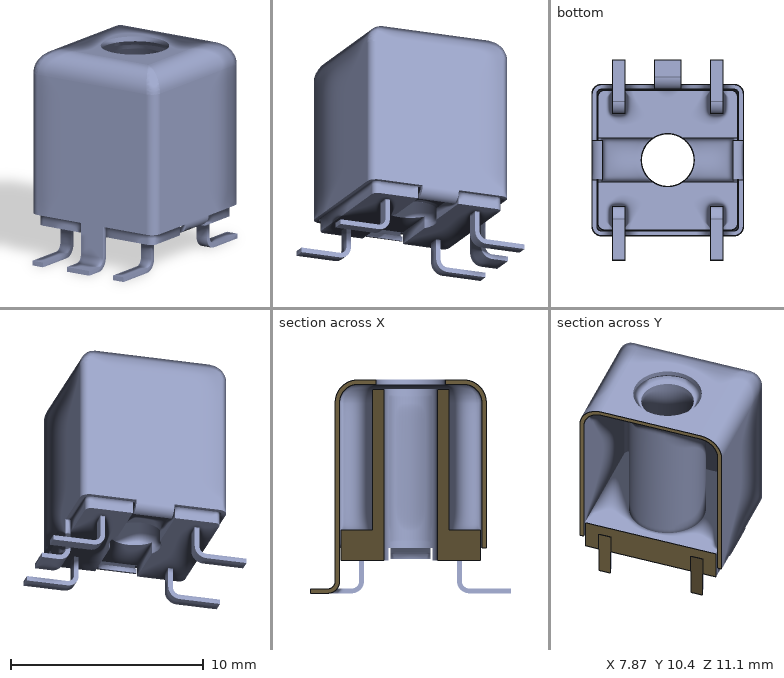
import cadquery as cq
import math


CAN_WIDTH = 7.87
TOTAL_LENGTH = 10.41
TOTAL_HEIGHT = 11.1

SHEET = 0.254
CAN_BOTTOM = 2.34
CAN_CORNER_RADIUS = 0.508
CAN_TOP_RADIUS = 1.2
TOP_HOLE_DIAMETER = 3.56
GROUND_TAB_WIDTH = 1.4
CLINCH_TAB_WIDTH = 2.05
CLINCH_OUTER_RADIUS = 0.56

FORM_BOTTOM = 1.71
FORM_WIDTH = 7.24
FORM_CORNER_RADIUS = 0.33
PLATE_THICKNESS = 1.6
CHANNEL_WIDTH = 2.27
TUBE_DIAMETER = 4.0
TUBE_BORE = 2.73
TUBE_TOP_DEPTH = 0.5

PIN_SPACING = 5.08
PIN_WIDTH = 0.66
PIN_THICKNESS = 0.254
PIN_EMBEDDED = 1.0
BEND_INNER_RADIUS = 0.381

CAVITY_WIDTH = CAN_WIDTH - 2 * SHEET
FOOT_TIP = TOTAL_LENGTH / 2


def domed_block(width, top, corner_radius, top_radius):
    """Square block standing on the can's lower edge, rounded at its corners and top edges."""
    block = cq.Workplane("XY").workplane(offset=CAN_BOTTOM).rect(width, width).extrude(top - CAN_BOTTOM)
    return block.faces(">Z").edges().fillet(top_radius).edges("|Z").fillet(corner_radius)


def bent_foot(width, thickness, inner_face, top):
    """Leg along X = 0 whose inner face is at Y = -inner_face, bent out to a foot towards -Y."""
    outer_face = inner_face + thickness
    outer_radius = BEND_INNER_RADIUS + thickness
    diagonal = math.cos(math.radians(45))
    bend_y = -(outer_face + BEND_INNER_RADIUS)
    bend_z = outer_radius
    profile = (
        cq.Workplane("YZ")
        .moveTo(-inner_face, top)
        .lineTo(-inner_face, bend_z)
        .threePointArc(
            (bend_y + outer_radius * diagonal, bend_z - outer_radius * diagonal),
            (bend_y, 0),
        )
        .lineTo(-FOOT_TIP, 0)
        .lineTo(-FOOT_TIP, thickness)
        .lineTo(bend_y, thickness)
        .threePointArc(
            (bend_y + BEND_INNER_RADIUS * diagonal, bend_z - BEND_INNER_RADIUS * diagonal),
            (-outer_face, bend_z),
        )
        .lineTo(-outer_face, top)
        .close()
    )
    return profile.extrude(width / 2, both=True)


def clinch_tab():
    """Tab curled a quarter turn inwards under the +X wall of the can."""
    axis_x = CAN_WIDTH / 2 - CLINCH_OUTER_RADIUS
    ring = (
        cq.Workplane("XZ", origin=(axis_x, 0, CAN_BOTTOM))
        .circle(CLINCH_OUTER_RADIUS)
        .circle(CLINCH_OUTER_RADIUS - SHEET)
        .extrude(CLINCH_TAB_WIDTH / 2, both=True)
    )
    quarter = cq.Workplane("XY", origin=(axis_x, 0, CAN_BOTTOM - CLINCH_OUTER_RADIUS)).box(
        CLINCH_OUTER_RADIUS, CLINCH_TAB_WIDTH, CLINCH_OUTER_RADIUS, centered=(False, True, False)
    )
    return ring.intersect(quarter)


def make_can():
    """Hollow can with a hole in its top, a ground tab towards -Y and clinch tabs at both X sides."""
    shell = domed_block(CAN_WIDTH, TOTAL_HEIGHT, CAN_CORNER_RADIUS, CAN_TOP_RADIUS)
    cavity = domed_block(
        CAVITY_WIDTH, TOTAL_HEIGHT - SHEET, CAN_CORNER_RADIUS - SHEET, CAN_TOP_RADIUS - SHEET
    )
    shell = shell.cut(cavity)
    shell = shell.faces(">Z").workplane().hole(TOP_HOLE_DIAMETER, 2 * SHEET)
    shell = shell.union(bent_foot(GROUND_TAB_WIDTH, SHEET, CAVITY_WIDTH / 2, CAN_BOTTOM + SHEET))
    for turn in (0, 180):
        shell = shell.union(clinch_tab().rotate((0, 0, 0), (0, 0, 1), turn))
    return shell.clean()


def make_pins():
    """Two pins towards -Y and two, turned half round, towards +Y."""
    pins = []
    offset = PIN_SPACING / 2
    for turn in (0, 180):
        for x in (-offset, offset):
            pin = bent_foot(
                PIN_WIDTH, PIN_THICKNESS, offset - PIN_THICKNESS / 2, FORM_BOTTOM + PIN_EMBEDDED
            )
            pins.append(pin.translate((x, 0, 0)).rotate((0, 0, 0), (0, 0, 1), turn))
    return pins


def make_coil_form(pins):
    """Bored tube on a base plate that has a channel along X and a socket for each pin."""
    plate = (
        cq.Workplane("XY")
        .workplane(offset=FORM_BOTTOM)
        .rect(FORM_WIDTH, FORM_WIDTH)
        .extrude(PLATE_THICKNESS)
        .edges("|Z")
        .fillet(FORM_CORNER_RADIUS)
    )
    channel = (
        cq.Workplane("XY")
        .workplane(offset=FORM_BOTTOM)
        .rect(FORM_WIDTH, CHANNEL_WIDTH)
        .extrude(CAN_BOTTOM - FORM_BOTTOM)
    )
    tube_height = TOTAL_HEIGHT - TUBE_TOP_DEPTH - CAN_BOTTOM
    tube = cq.Workplane("XY").workplane(offset=CAN_BOTTOM).circle(TUBE_DIAMETER / 2).extrude(tube_height)
    bore = cq.Workplane("XY").circle(TUBE_BORE / 2).extrude(TOTAL_HEIGHT)
    form = plate.cut(channel).union(tube).cut(bore)
    for pin in pins:
        form = form.cut(pin)
    return form


can = make_can()
pins = make_pins()
coil_form = make_coil_form(pins)

result = cq.Compound.makeCompound([can.val(), coil_form.val(), *[pin.val() for pin in pins]])